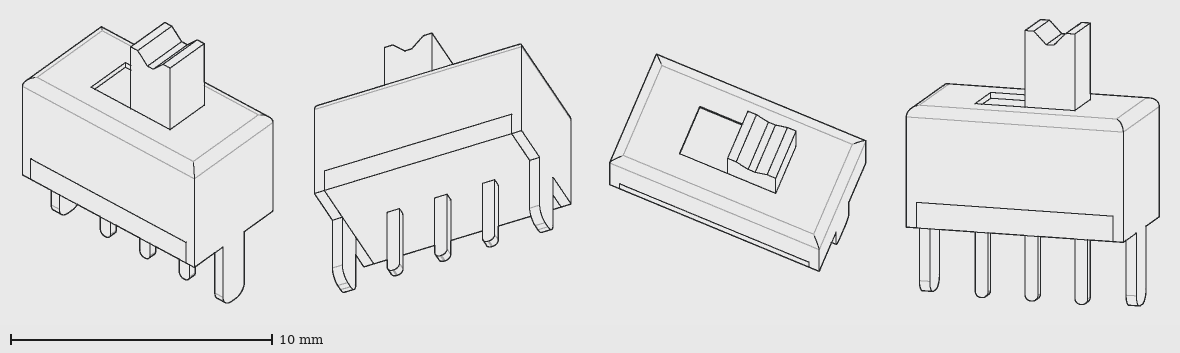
import cadquery as cq

overall_height = 10.8

length = 8.7
width = 4.6
height = 4.73
wall = 0.42
top_wall = 0.23
top_edge_radius = 0.4
window_height = 1.0

tab_length = 2.96
tab_width = 1.25
tab_corner_radius = 0.5

slider_size = 2.0
slot_length = 2 * slider_size
slider_rise = 3.0
notch_rim = 0.36
notch_depth = 0.5

pin_count = 3
pin_pitch = 2.0
pin_width = 0.52
pin_thickness = 0.35
pin_length = overall_height - height - slider_rise
pin_corner_radius = 0.24

cavity_length = length - 2 * wall
cavity_width = width - 2 * wall
cavity_height = height - top_wall


def box_up(size_x, size_y, size_z):
    """Box centred in X and Y, standing on Z = 0."""
    return cq.Workplane("XY").box(size_x, size_y, size_z, centered=(True, True, False))


def make_tab():
    """Tab with rounded lower corners, hanging below Z = 0."""
    tab = box_up(wall, tab_width, tab_length)
    return tab.edges("|X and <Z").fillet(tab_corner_radius).translate((0, 0, -tab_length))


def make_shell():
    shell = box_up(length, width, height).faces(">Z").edges().fillet(top_edge_radius)
    shell = shell.cut(box_up(cavity_length, cavity_width, cavity_height))
    shell = shell.cut(box_up(cavity_length, width, window_height))
    shell = shell.cut(box_up(slot_length, slider_size, height))
    for side in (-1, 1):
        shell = shell.union(make_tab().translate((side * (length - wall) / 2, 0, 0)))
    return shell


def make_slider():
    """Square post with a flat-bottomed V notch across its top."""
    tip = height + slider_rise
    notch_floor = tip - notch_depth
    profile = [
        (0, cavity_height),
        (slider_size, cavity_height),
        (slider_size, tip),
        (slider_size - notch_rim, tip),
        (slider_size - notch_rim - notch_depth, notch_floor),
        (notch_rim + notch_depth, notch_floor),
        (notch_rim, tip),
        (0, tip),
    ]
    return cq.Workplane("XZ").polyline(profile).close().extrude(slider_size / 2, both=True)


def make_pin():
    """Flat pin with rounded lower corners, hanging below Z = 0."""
    pin = box_up(pin_width, pin_thickness, pin_length)
    return pin.edges("|Y and <Z").fillet(pin_corner_radius).translate((0, 0, -pin_length))


def make_insert():
    """Core filling the shell and its windows, with the slider and pins in one piece."""
    insert = box_up(cavity_length, cavity_width, cavity_height)
    insert = insert.union(box_up(cavity_length, width, window_height))
    insert = insert.union(make_slider())
    for index in range(pin_count):
        pin_x = (index - (pin_count - 1) / 2) * pin_pitch
        insert = insert.union(make_pin().translate((pin_x, 0, 0)))
    return insert


shell = make_shell()
insert = make_insert()
result = cq.Compound.makeCompound([shell.val(), insert.val()])